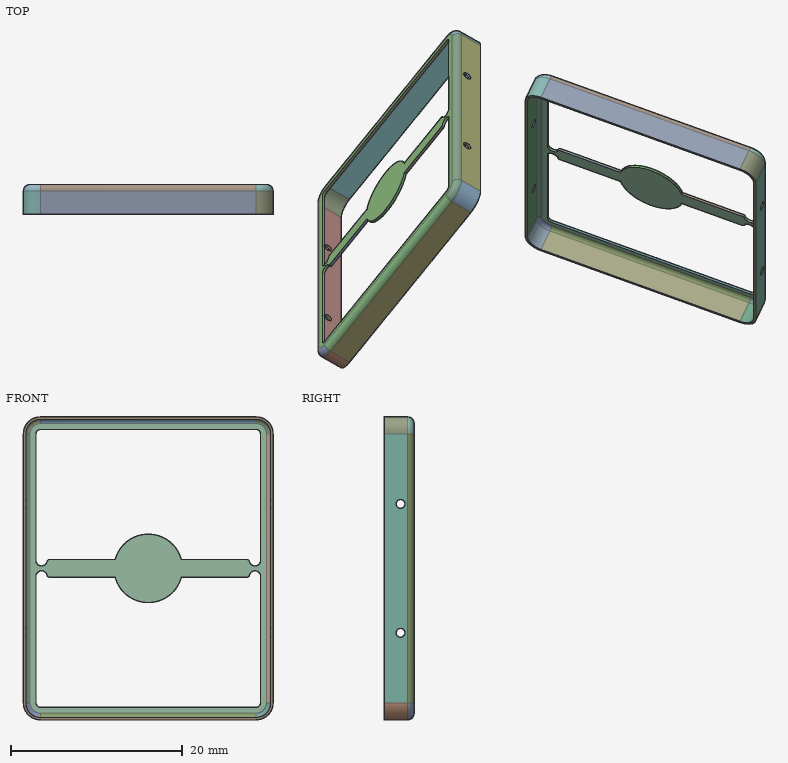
import cadquery as cq
import math

width = 29.1
height = 35.3
depth = 3.5
wall = 0.3
outer_corner_radius = 2.0
outer_edge_radius = 0.8
inner_edge_radius = outer_edge_radius - wall

lip_thickness = wall
lip_width = 1.5
window_width = width - 2 * lip_width
window_height = height - 2 * lip_width
window_corner_radius = outer_corner_radius - lip_width

pad_radius = 4.0
bar_height = 2.1
bar_corner_radius = 0.3

neck_height = 0.6
neck_overlap = 0.5
notch_radius = 0.65
notch_inset = 0.63
notch_x = window_width / 2 - notch_inset
notch_z = neck_height / 2 + notch_radius
notch_edge_z = notch_z - math.sqrt(notch_radius**2 - notch_inset**2)

hole_diameter = 1.0
hole_spacing = 15.0
hole_from_back = 1.6


def rounded_block(size_x, size_z, corner_radius, y_start, y_end):
    """Block centred on the Y axis with rounded corners in the XZ plane."""
    length = y_end - y_start
    block = cq.Workplane("XY").box(size_x, length, size_z)
    return block.edges("|Y").fillet(corner_radius).translate((0, y_start + length / 2, 0))


def plate(sketch):
    """Extrude an XZ outline through the lip thickness at the back."""
    return sketch.extrude(lip_thickness).translate((0, depth, 0))


def make_frame():
    shell = rounded_block(width, height, outer_corner_radius, 0, depth)
    shell = shell.faces(">Y").edges().fillet(outer_edge_radius)
    cavity = rounded_block(
        width - 2 * wall,
        height - 2 * wall,
        outer_corner_radius - wall,
        0,
        depth - lip_thickness,
    )
    cavity = cavity.faces(">Y").edges().fillet(inner_edge_radius)
    window = rounded_block(window_width, window_height, window_corner_radius, 0, depth)
    return shell.cut(cavity).cut(window)


def make_crossbar():
    notch_centers = [(x, z) for x in (-notch_x, notch_x) for z in (-notch_z, notch_z)]
    notches = plate(cq.Workplane("XZ").pushPoints(notch_centers).circle(notch_radius))
    bar = plate(cq.Workplane("XZ").rect(2 * notch_x, bar_height)).cut(notches)
    bar = bar.edges("|Y").edges(">Z or <Z").fillet(bar_corner_radius)
    neck_span = window_width + 2 * neck_overlap
    necks = plate(cq.Workplane("XZ").rect(neck_span, 2 * notch_edge_z)).cut(notches)
    pad = plate(cq.Workplane("XZ").circle(pad_radius))
    return bar.union(necks).union(pad)


def make_side_holes():
    centers = [(depth - hole_from_back, z) for z in (-hole_spacing / 2, hole_spacing / 2)]
    holes = cq.Workplane("YZ").pushPoints(centers).circle(hole_diameter / 2)
    return holes.extrude(width / 2, both=True)


result = make_frame().union(make_crossbar()).cut(make_side_holes())